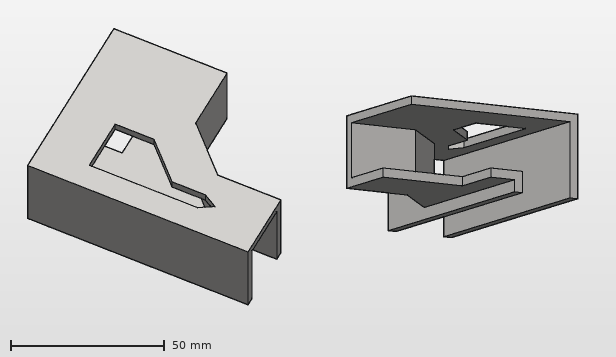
import cadquery as cq

length = 80.0
depth = 63.0
height = 28.0

top_thickness = 2.8
wall_thickness = 3.05

arm_depth = 24.0
leg_width = 41.1
bevel = 16.0
bevel_end_x = leg_width + bevel
bevel_end_y = arm_depth + bevel
corner_shift = wall_thickness * (2 ** 0.5 - 1)

lip_drop = 4.0
flange_top = lip_drop + wall_thickness
inner_y = arm_depth - wall_thickness
inner_x = leg_width - wall_thickness
tongue_depth = 12.0
tongue_rear = inner_y + tongue_depth
flange_left = 17.9

slot_left = 17.9
slot_front = 9.05
slot_rear = 27.9
slot_bevel_start = 32.0
slot_neck_width = 5.85
slot_neck_rear = slot_front + slot_neck_width
slot_bevel_end = slot_bevel_start + slot_rear - slot_neck_rear
slot_tip_length = 5.0

rear_edge = [
    (length, arm_depth),
    (bevel_end_x, arm_depth),
    (leg_width, bevel_end_y),
    (leg_width, depth),
]


def prism(points, bottom, top):
    """Extrude a closed outline in XY between two heights."""
    outline = cq.Workplane("XY").workplane(offset=bottom).polyline(points).close()
    return outline.extrude(top - bottom)


def block(size_x, front, rear, bottom, top):
    """Make a box starting at the left end."""
    box = cq.Workplane("XY").box(size_x, rear - front, top - bottom, centered=False)
    return box.translate((0, front, bottom))


def top_plate():
    plate = prism([(0, 0), (length, 0)] + rear_edge + [(0, depth)], height - top_thickness, height)
    slot = prism(
        [
            (slot_left, slot_front),
            (bevel_end_x, slot_front),
            (bevel_end_x + slot_tip_length, slot_front + slot_neck_width / 2),
            (bevel_end_x, slot_neck_rear),
            (slot_bevel_end, slot_neck_rear),
            (slot_bevel_start, slot_rear),
            (slot_left, slot_rear),
        ],
        height - top_thickness,
        height,
    )
    return plate.cut(slot)


def inner_wall():
    """Bent wall that follows the rear outline."""
    inner_edge = [
        (inner_x, depth),
        (inner_x, bevel_end_y - corner_shift),
        (bevel_end_x - corner_shift, inner_y),
        (length, inner_y),
    ]
    return prism(rear_edge + inner_edge, lip_drop, height)


def bottom_flange():
    """Flange under the inner wall, with a tongue reaching the left end."""
    front_edge = [
        (flange_left, depth),
        (flange_left, tongue_rear),
        (0, tongue_rear),
        (0, inner_y),
        (length, inner_y),
    ]
    return prism(rear_edge + front_edge, lip_drop, flange_top)


front_wall = block(length, 0, wall_thickness, 0, height)
lip = block(length, inner_y, arm_depth, 0, flange_top)

result = top_plate().union(front_wall).union(inner_wall()).union(bottom_flange()).union(lip)